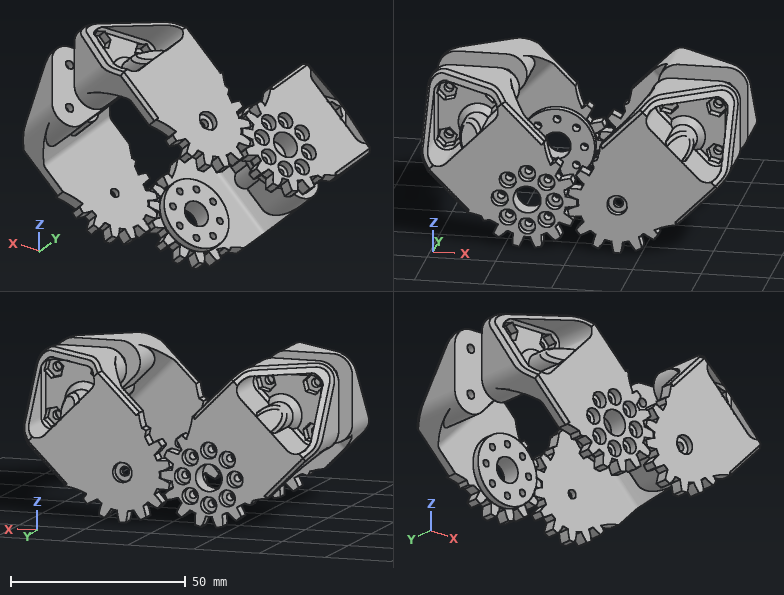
import cadquery as cq
import math


OUTER_FACE = 27.0
MOUNT_FACE = 6.0
ARM_THICKNESS = 4.0
CHAMFER = 1.0

GEAR_SPACING = 26.3
TEETH = 14
TIP_RADIUS = 14.6
ROOT_RADIUS = 11.3
TIP_HALF_WIDTH = 1.0
PITCH_HALF_WIDTH = 1.4
ROOT_HALF_WIDTH = 1.6

MOUNT_OFFSET = 19.1
SCREW_PITCH = 14.1
CORNER_RADIUS = 6.0
WALL = 2.45
FLOOR_THICKNESS = 5.5
SCREW_HOLE = 2.6
NUT_ACROSS_CORNERS = 6.0
NUT_DEPTH = 3.0

SLOPE_START = -25.6
ARM_END = -9.0
NECK_HALF_WIDTH = 11.7
NECK_MIDDLE = (-4.4, 13.2)

HOLLOW_START = -18.1
HOLLOW_MIDDLE = (-23.2, 17.5)
HOLLOW_LOW_Z = 10.3
HOLLOW_FILLET = 2.45

POST_X = -23.9
POST_DIAMETER = 8.0
POST_FLARE = 2.0
POST_LOW_Z = 18.85

HORN_DISC_DIAMETER = 22.0
HORN_DISC_HEIGHT = 2.3
HORN_BORE = 8.0
HORN_SCREWS = 8
HORN_SCREW_CIRCLE = 15.95
HORN_SCREW_HOLE = 2.1
HORN_HEAD = 4.8
HORN_HEAD_DEPTH = 2.5

PIVOT_HOLE = 2.7
PIVOT_HEAD = 5.8
PIVOT_HEAD_DEPTH = 2.1

ARM_INNER = OUTER_FACE - ARM_THICKNESS
FLOOR = MOUNT_FACE + FLOOR_THICKNESS
POCKET_RADIUS = CORNER_RADIUS - WALL
SCREW_LINE_X = -MOUNT_OFFSET * math.sqrt(2)
SCREW_REACH = SCREW_PITCH / math.sqrt(2)
ARM_HALF_WIDTH = SCREW_REACH + CORNER_RADIUS
SCREWS = [
    (SCREW_LINE_X, SCREW_REACH),
    (SCREW_LINE_X - SCREW_REACH, 0),
    (SCREW_LINE_X, -SCREW_REACH),
]
TOOTH_STEP = 360 / TEETH
MESH_DIRECTION = 45
FULL_SPAN = 72.5


def level(z):
    """A workplane at height z, centred on the gear axis."""
    return cq.Workplane("XY", origin=(0, 0, z))


def rounded_triangle(radius, bottom, top):
    """A prism whose walls keep the given distance from the triangle of the screws."""
    return level(bottom).polyline(SCREWS).close().offset2D(radius).extrude(top - bottom)


def across(outline):
    """A prism across the full width, from a closed outline in the X-Z plane."""
    return outline.close().extrude(FULL_SPAN / 2, both=True)


def slope_face(body, run, rise):
    """The face of a body that slopes up by `rise` over `run` and looks away from the gear."""
    return body.faces(cq.selectors.DirectionMinMaxSelector(cq.Vector(-rise, 0, run), True))


def counterbored(body, places, hole, head, head_depth):
    """Through holes with round recesses for screw heads in the outer face."""
    holes = level(0).pushPoints(places).circle(hole / 2).extrude(OUTER_FACE)
    heads = level(OUTER_FACE - head_depth).pushPoints(places).circle(head / 2).extrude(head_depth)
    return body.cut(holes).cut(heads)


def arm_hollow():
    """The space behind the arm, curving up from the mount to the inner face of the arm."""
    outline = (
        cq.Workplane("XZ")
        .lineTo(0, ARM_INNER)
        .lineTo(HOLLOW_START, ARM_INNER)
        .threePointArc(HOLLOW_MIDDLE, (SCREW_LINE_X, HOLLOW_LOW_Z))
        .lineTo(SCREW_LINE_X, 0)
    )
    corner = cq.selectors.NearestToPointSelector((HOLLOW_START, 0, ARM_INNER))
    return across(outline).edges(corner).fillet(HOLLOW_FILLET)


def shell():
    """The mount block and the arm, with the sloped outer cut and the chamfered rim."""
    block = rounded_triangle(CORNER_RADIUS, MOUNT_FACE, OUTER_FACE)
    arm = (
        level(MOUNT_FACE)
        .center((SCREW_LINE_X + ARM_END) / 2, 0)
        .rect(ARM_END - SCREW_LINE_X, 2 * ARM_HALF_WIDTH)
        .extrude(OUTER_FACE - MOUNT_FACE)
    )
    above_slope = across(cq.Workplane("XZ").polyline([
        (SLOPE_START, OUTER_FACE),
        (SLOPE_START - FULL_SPAN, OUTER_FACE - FULL_SPAN),
        (SLOPE_START - FULL_SPAN, OUTER_FACE),
    ]))
    body = block.union(arm).cut(above_slope)
    rim = slope_face(body, 1, 1).edges("not |Y")
    arm_sides = body.faces(">Z").edges("|X")
    body = body.newObject(rim.vals() + arm_sides.vals()).chamfer(CHAMFER)
    return body.cut(arm_hollow().cut(block))


def pocket():
    """The space above the mount floor, narrowing at the floor."""
    return rounded_triangle(POCKET_RADIUS, FLOOR, OUTER_FACE).faces("<Z").chamfer(CHAMFER)


def post():
    """The flared post half sunk in the pocket wall, cut off at a slant with a chamfered edge."""
    radius = POST_DIAMETER / 2
    low_x = POST_X - radius
    run = SCREW_LINE_X + POCKET_RADIUS - low_x
    rise = OUTER_FACE - POST_LOW_Z
    shaft = level(FLOOR).center(POST_X, 0).circle(radius).extrude(OUTER_FACE - FLOOR)
    above_slant = across(cq.Workplane("XZ").polyline([
        (low_x - run, POST_LOW_Z - rise),
        (low_x + 2 * run, OUTER_FACE + rise),
        (low_x - run, OUTER_FACE + rise),
    ]))
    shaft = shaft.cut(above_slant)
    shaft = slope_face(shaft, run, rise).edges("%ELLIPSE").chamfer(CHAMFER)
    foot = cq.Vector(POST_X, 0, FLOOR)
    flare = cq.Workplane(cq.Solid.makeCone(radius + POST_FLARE, radius, POST_FLARE, foot))
    flare = flare.intersect(rounded_triangle(CORNER_RADIUS, FLOOR, OUTER_FACE))
    return shaft.union(flare)


def mount_screws(body):
    """Screw holes through the mount, each with a hexagonal nut recess in the pocket floor."""
    holes = level(0).pushPoints(SCREWS).circle(SCREW_HOLE / 2).extrude(FLOOR)
    nuts = (
        level(FLOOR - NUT_DEPTH)
        .pushPoints(SCREWS)
        .polygon(6, NUT_ACROSS_CORNERS)
        .extrude(NUT_DEPTH + CHAMFER)
    )
    return body.cut(holes).cut(nuts)


def neck():
    """The end of the arm, narrowing in two curves towards the gear."""
    middle_x, middle_y = NECK_MIDDLE
    return (
        level(ARM_INNER)
        .moveTo(ARM_END, -ARM_HALF_WIDTH)
        .threePointArc((middle_x, -middle_y), (0, -NECK_HALF_WIDTH))
        .lineTo(0, NECK_HALF_WIDTH)
        .threePointArc((middle_x, middle_y), (ARM_END, ARM_HALF_WIDTH))
        .close()
        .extrude(ARM_THICKNESS)
    )


def gear(first_tooth):
    """A gear wheel with the middle of one tooth at the given angle."""
    wheel = level(ARM_INNER).circle(ROOT_RADIUS).extrude(ARM_THICKNESS)
    pitch_radius = GEAR_SPACING / 2
    flank_foot = math.sqrt(ROOT_RADIUS**2 - ROOT_HALF_WIDTH**2)
    tooth = (
        level(ARM_INNER)
        .moveTo(0, -ROOT_HALF_WIDTH)
        .lineTo(flank_foot, -ROOT_HALF_WIDTH)
        .threePointArc((pitch_radius, -PITCH_HALF_WIDTH), (TIP_RADIUS, -TIP_HALF_WIDTH))
        .lineTo(TIP_RADIUS, TIP_HALF_WIDTH)
        .threePointArc((pitch_radius, PITCH_HALF_WIDTH), (flank_foot, ROOT_HALF_WIDTH))
        .lineTo(0, ROOT_HALF_WIDTH)
        .close()
        .extrude(ARM_THICKNESS)
    )
    for i in range(TEETH):
        wheel = wheel.union(tooth.rotate((0, 0, 0), (0, 0, 1), first_tooth + i * TOOTH_STEP))
    return wheel


def bracket(first_tooth):
    body = shell().cut(pocket()).union(post())
    body = mount_screws(body)
    return body.union(neck()).union(gear(first_tooth))


def horn_bracket():
    """A bracket whose gear carries a servo horn: a disc, a bore and a ring of screws."""
    disc = (
        level(ARM_INNER - HORN_DISC_HEIGHT)
        .circle(HORN_DISC_DIAMETER / 2)
        .extrude(HORN_DISC_HEIGHT)
    )
    bore = level(0).circle(HORN_BORE / 2).extrude(OUTER_FACE)
    body = bracket(MESH_DIRECTION).union(disc).cut(bore)
    radius = HORN_SCREW_CIRCLE / 2
    angles = [2 * math.pi * i / HORN_SCREWS for i in range(HORN_SCREWS)]
    places = [(radius * math.cos(a), radius * math.sin(a)) for a in angles]
    return counterbored(body, places, HORN_SCREW_HOLE, HORN_HEAD, HORN_HEAD_DEPTH)


def pivot_bracket():
    """A bracket whose gear turns on one screw; its tooth gap faces a tooth of the other gear."""
    body = bracket(MESH_DIRECTION + TOOTH_STEP / 2)
    return counterbored(body, [(0, 0)], PIVOT_HOLE, PIVOT_HEAD, PIVOT_HEAD_DEPTH)


FRONT_LEFT = cq.Plane(origin=(-GEAR_SPACING / 2, 0, 0), xDir=(1, 0, -1), normal=(0, -1, 0))

front_horn = horn_bracket().solids().val().moved(FRONT_LEFT.location)
front_pivot = pivot_bracket().solids().val().moved(FRONT_LEFT.location).mirror("YZ")

brackets = []
for front in (front_horn, front_pivot):
    brackets.append(front)
    brackets.append(front.mirror("XZ"))

result = cq.Compound.makeCompound(brackets)